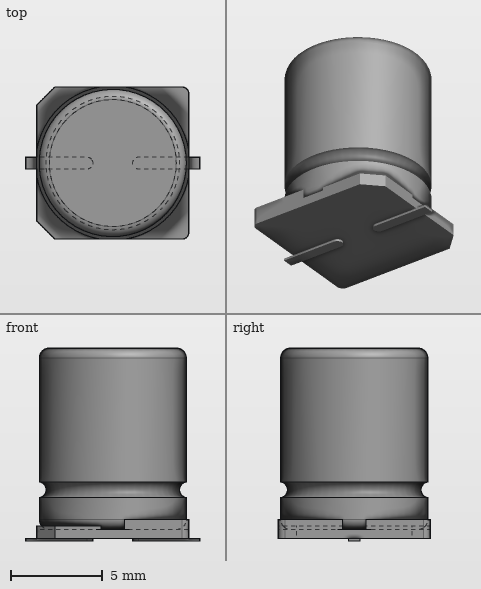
import cadquery as cq
import math


total_height = 10.51

lead_span = 9.5
lead_width = 0.65
lead_thickness = 0.13
lead_gap = 2.16

base_size = 8.3
base_bottom = lead_thickness
base_low_top = 0.82
base_high_top = 1.16
corner_chamfer = 1.0
corner_radius = 0.38
notch_half_width = 0.65

can_radius = 4.01
can_bottom = 0.63
can_edge_radius = 0.55

groove_bottom = 2.36
groove_top = 3.22
groove_depth = 0.37

half_base = base_size / 2
seat_radius = math.hypot(half_base, notch_half_width)


def base_plate():
    plate = (
        cq.Workplane("XY", origin=(0, 0, base_bottom))
        .rect(base_size, base_size)
        .extrude(base_high_top - base_bottom)
    )
    plate = plate.edges("|Z and <X").chamfer(corner_chamfer)
    plate = plate.edges("|Z and >X").fillet(corner_radius)
    low_side = (
        cq.Workplane("XY", origin=(0, 0, base_low_top))
        .rect(base_size, base_size)
        .extrude(base_high_top - base_low_top)
        .translate((-half_base, 0, 0))
    )
    seat = (
        cq.Workplane("XY", origin=(0, 0, can_bottom))
        .circle(seat_radius)
        .extrude(base_high_top - can_bottom)
    )
    return plate.cut(low_side).cut(seat)


def can():
    flat_radius = can_radius - can_edge_radius
    arc_offset = can_edge_radius * math.sqrt(0.5)
    arc_radius = flat_radius + arc_offset
    lower_arc_height = can_bottom + can_edge_radius
    upper_arc_height = total_height - can_edge_radius
    groove_middle = (groove_bottom + groove_top) / 2
    return (
        cq.Workplane("XZ")
        .moveTo(0, can_bottom)
        .lineTo(flat_radius, can_bottom)
        .threePointArc((arc_radius, lower_arc_height - arc_offset), (can_radius, lower_arc_height))
        .lineTo(can_radius, groove_bottom)
        .threePointArc((can_radius - groove_depth, groove_middle), (can_radius, groove_top))
        .lineTo(can_radius, upper_arc_height)
        .threePointArc((arc_radius, upper_arc_height + arc_offset), (flat_radius, total_height))
        .lineTo(0, total_height)
        .close()
        .revolve(360, (0, 0, 0), (0, 1, 0))
    )


def lead(side):
    """Flat lead on the given X side (-1 or +1), with a round inner end."""
    outer_x = side * lead_span / 2
    tip_x = side * lead_gap / 2
    round_start_x = tip_x + side * lead_width / 2
    return (
        cq.Workplane("XY")
        .moveTo(outer_x, -lead_width / 2)
        .lineTo(round_start_x, -lead_width / 2)
        .threePointArc((tip_x, 0), (round_start_x, lead_width / 2))
        .lineTo(outer_x, lead_width / 2)
        .close()
        .extrude(lead_thickness)
    )


result = base_plate().union(can())
for side in (-1, 1):
    result = result.union(lead(side))